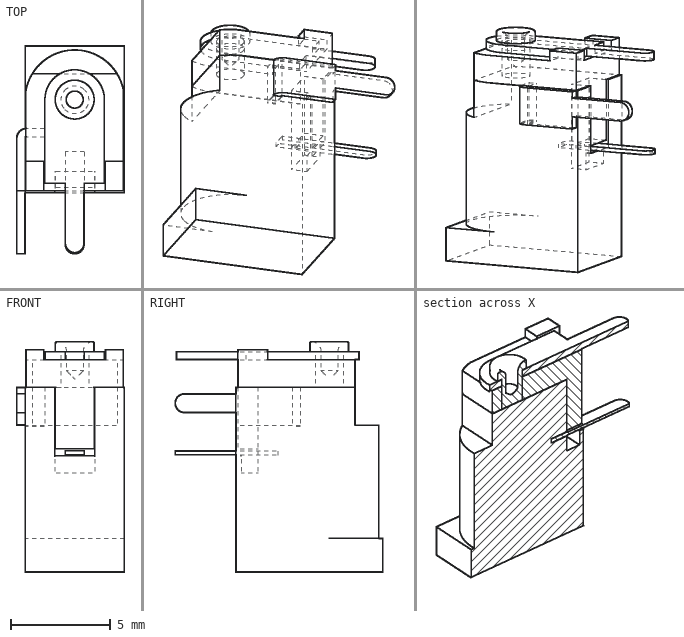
import cadquery as cq


housing_half_width = 2.5
barrel_radius = housing_half_width
housing_front = -4.7
flange_back = 2.7
flange_height = 1.7
barrel_step_height = 7.4
housing_height = 9.3
upper_back = 1.3

cover_half_width = 2.45
cover_front = -4.6
cover_seat = 10.7
ear_top = 11.2
ear_back = -3.1
ear_inner_half = 1.55
slot_half_width = 1.0
slot_bottom = 5.85
slot_back = -3.6
slot_sill_depth = 0.28
slot_well_bottom = 5.0
tongue_half_width = 0.975
tongue_bottom = 6.2

leg_width = 0.95
leg_radius = leg_width / 2
leg_tip = -7.76

top_plate_thickness = 0.4
top_plate_top = cover_seat + top_plate_thickness
top_plate_radius = 1.5
top_plate_front = -4.2
top_leg_tip = -7.7

rivet_top = 11.6
rivet_head_radius = 0.98
rivet_shank_radius = 0.7
rivet_rim_fillet = 0.1
funnel_mouth_radius = rivet_head_radius - rivet_rim_fillet
funnel_throat_radius = 0.43
funnel_flare = funnel_mouth_radius - funnel_throat_radius
throat_depth = 1.0
cone_depth = funnel_throat_radius

side_thickness = 0.42
side_outer_face = -housing_half_width - side_thickness
side_bend_radius = 0.5
side_bottom = barrel_step_height
side_leg_height = 8.5
lip_back = -1.45
lip_depth = 1.0
lip_clearance = 0.05

strip_bottom = 5.9
strip_top = 6.1
strip_inner_end = slot_back + 1.0


def box(x, y, z):
    """Box between the low and high ends given for each axis."""
    size = [high - low for low, high in (x, y, z)]
    return cq.Workplane("XY").box(*size, centered=False).translate((x[0], y[0], z[0]))


def barrel_prism(bottom, top):
    """Housing outline with a straight front and a half-round back, drawn up from bottom to top."""
    return (
        cq.Workplane("XY", origin=(0, 0, bottom))
        .moveTo(-housing_half_width, housing_front)
        .lineTo(housing_half_width, housing_front)
        .lineTo(housing_half_width, 0)
        .threePointArc((0, barrel_radius), (-housing_half_width, 0))
        .close()
        .extrude(top - bottom)
    )


def flat_leg(start, tip, bottom, top):
    """Horizontal strip along Y with a half-round tip."""
    round_start = tip + leg_radius
    return (
        cq.Workplane("XY", origin=(0, 0, bottom))
        .moveTo(leg_radius, start)
        .lineTo(leg_radius, round_start)
        .threePointArc((0, tip), (-leg_radius, round_start))
        .lineTo(-leg_radius, start)
        .close()
        .extrude(top - bottom)
    )


def make_top_terminal():
    plate = (
        cq.Workplane("XY", origin=(0, 0, cover_seat))
        .moveTo(-top_plate_radius, top_plate_front)
        .lineTo(top_plate_radius, top_plate_front)
        .lineTo(top_plate_radius, 0)
        .threePointArc((0, top_plate_radius), (-top_plate_radius, 0))
        .close()
        .extrude(top_plate_thickness)
    )
    leg = flat_leg(top_plate_front, top_leg_tip, cover_seat, top_plate_top)
    return plate.union(leg).cut(rivet_shank())


def rivet_shank():
    """Cylinder through the top terminal and the cover."""
    return (
        cq.Workplane("XY", origin=(0, 0, housing_height))
        .circle(rivet_shank_radius)
        .extrude(top_plate_top - housing_height)
    )


def make_rivet():
    """Rivet with a rounded rim and a flared mouth over a straight hole with a conical end."""
    throat_height = rivet_top - funnel_flare
    throat_bottom = throat_height - throat_depth
    diagonal = 0.5 ** 0.5
    flare_middle = (
        funnel_mouth_radius - funnel_flare * diagonal,
        throat_height + funnel_flare * diagonal,
    )
    rim_start = rivet_top - rivet_rim_fillet
    rim_middle = (
        funnel_mouth_radius + rivet_rim_fillet * diagonal,
        rim_start + rivet_rim_fillet * diagonal,
    )
    return (
        cq.Workplane("XZ")
        .moveTo(0, housing_height)
        .lineTo(rivet_shank_radius, housing_height)
        .lineTo(rivet_shank_radius, top_plate_top)
        .lineTo(rivet_head_radius, top_plate_top)
        .lineTo(rivet_head_radius, rim_start)
        .threePointArc(rim_middle, (funnel_mouth_radius, rivet_top))
        .threePointArc(flare_middle, (funnel_throat_radius, throat_height))
        .lineTo(funnel_throat_radius, throat_bottom)
        .lineTo(0, throat_bottom - cone_depth)
        .close()
        .revolve(360, (0, 0, 0), (0, 1, 0))
    )


def make_side_terminal():
    lip_front = lip_back - side_thickness
    plate = box(
        (side_outer_face, -housing_half_width),
        (cover_front, lip_back),
        (side_bottom, housing_height),
    )
    lip = box(
        (-housing_half_width, -housing_half_width + lip_depth),
        (lip_front, lip_back),
        (side_bottom, housing_height),
    )
    bent_plate = plate.union(lip).edges("|Z and <X and >Y").fillet(side_bend_radius)
    round_start = leg_tip + leg_radius
    leg = (
        cq.Workplane("YZ", origin=(side_outer_face, 0, 0))
        .moveTo(cover_front, side_leg_height - leg_radius)
        .lineTo(round_start, side_leg_height - leg_radius)
        .threePointArc((leg_tip, side_leg_height), (round_start, side_leg_height + leg_radius))
        .lineTo(cover_front, side_leg_height + leg_radius)
        .close()
        .extrude(side_thickness)
    )
    return bent_plate.union(leg)


def make_front_terminal():
    return flat_leg(strip_inner_end, leg_tip, strip_bottom, strip_top)


def make_cover():
    slab = barrel_prism(housing_height, ear_top).intersect(
        box(
            (-cover_half_width, cover_half_width),
            (cover_front, upper_back),
            (housing_height, ear_top),
        )
    )
    behind_ears = box(
        (-cover_half_width, cover_half_width),
        (ear_back, upper_back),
        (cover_seat, ear_top),
    )
    between_ears = box(
        (-ear_inner_half, ear_inner_half),
        (cover_front, ear_back),
        (cover_seat, ear_top),
    )
    tongue = box(
        (-tongue_half_width, tongue_half_width),
        (cover_front, slot_back),
        (tongue_bottom, housing_height),
    )
    return slab.cut(behind_ears).cut(between_ears).union(tongue).cut(rivet_shank())


def make_housing():
    flange = box(
        (-housing_half_width, housing_half_width),
        (housing_front, flange_back),
        (0, flange_height),
    )
    body = flange.union(barrel_prism(flange_height, housing_height))
    barrel_step = box(
        (-housing_half_width, housing_half_width),
        (upper_back, flange_back),
        (barrel_step_height, housing_height),
    )
    front_slot = box(
        (-slot_half_width, slot_half_width),
        (housing_front, slot_back),
        (slot_bottom, housing_height),
    )
    slot_well = box(
        (-slot_half_width, slot_half_width),
        (housing_front + slot_sill_depth, slot_back),
        (slot_well_bottom, slot_bottom),
    )
    lip_pocket = box(
        (-housing_half_width, -housing_half_width + lip_depth),
        (lip_back - side_thickness, lip_back),
        (side_bottom - lip_clearance, housing_height),
    )
    body = body.cut(barrel_step).cut(front_slot).cut(slot_well)
    return body.cut(lip_pocket).cut(make_front_terminal())


housing = make_housing()
cover = make_cover()
top_terminal = make_top_terminal()
rivet = make_rivet()
side_terminal = make_side_terminal()
front_terminal = make_front_terminal()

result = cq.Compound.makeCompound(
    [
        housing.val(),
        cover.val(),
        top_terminal.val(),
        rivet.val(),
        side_terminal.val(),
        front_terminal.val(),
    ]
)